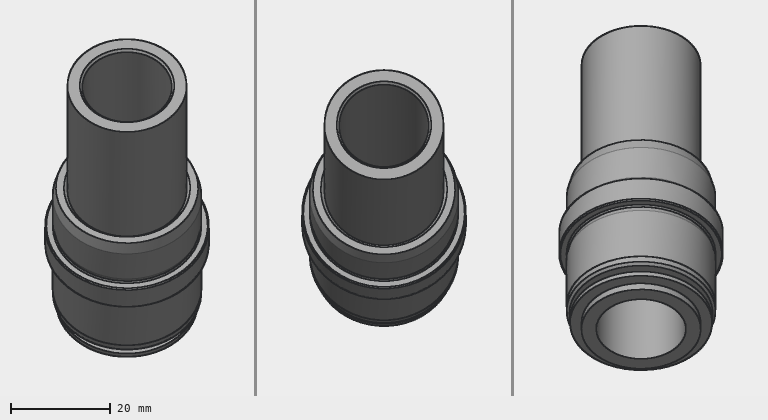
import cadquery as cq

TUBE_LENGTH = 71.0
TUBE_DIAMETER = 24.0
BORE_DIAMETER = 18.0
BORE_CHAMFER = 0.5
FLANGE_DIAMETER = 28.6
FLANGE_BOTTOM = 1.6
FLANGE_THICKNESS = 1.15

SLEEVE_BOTTOM = 4.25
SLEEVE_TOP = 38.2
UPPER_DIAMETER = 29.95
LOWER_DIAMETER = 30.0
LEAD_TOP = 6.25
FOOT_CHAMFER = 0.6
TOP_BEVEL_DIAMETER = 28.6
TOP_BEVEL_HEIGHT = 2.55
SLEEVE_BORE_CHAMFER = 0.7

COLLAR_DIAMETER = 33.0
COLLAR_BOTTOM = 20.15
COLLAR_TOP = 26.1
COLLAR_CHAMFER = 0.3
UNDERCUT_DIAMETER = 29.4
UNDERCUT_WIDTH = 1.5
UNDERCUT_DEEPEST = 0.35


def make_tube():
    """Tube and flange, bored through and chamfered at the bore's upper mouth."""
    tube = cq.Workplane("XY").circle(TUBE_DIAMETER / 2).extrude(TUBE_LENGTH)
    flange = (
        cq.Workplane("XY")
        .workplane(offset=FLANGE_BOTTOM)
        .circle(FLANGE_DIAMETER / 2)
        .extrude(FLANGE_THICKNESS)
    )
    body = tube.union(flange)
    body = body.faces(">Z").workplane().hole(BORE_DIAMETER)
    bore_mouth = body.faces(">Z").edges(cq.selectors.RadiusNthSelector(0))
    return bore_mouth.chamfer(BORE_CHAMFER)


def make_sleeve():
    """Revolved half-section, listed from the bore's foot outward and up."""
    bore_radius = TUBE_DIAMETER / 2
    upper_radius = UPPER_DIAMETER / 2
    lower_radius = LOWER_DIAMETER / 2
    undercut_radius = UNDERCUT_DIAMETER / 2
    collar_radius = COLLAR_DIAMETER / 2
    section = [
        (bore_radius, SLEEVE_BOTTOM),
        (upper_radius - FOOT_CHAMFER, SLEEVE_BOTTOM),
        (upper_radius, SLEEVE_BOTTOM + FOOT_CHAMFER),
        (upper_radius, LEAD_TOP),
        (lower_radius, LEAD_TOP),
        (lower_radius, COLLAR_BOTTOM - UNDERCUT_WIDTH),
        (undercut_radius, COLLAR_BOTTOM - UNDERCUT_DEEPEST),
        (lower_radius, COLLAR_BOTTOM),
        (collar_radius - COLLAR_CHAMFER, COLLAR_BOTTOM),
        (collar_radius, COLLAR_BOTTOM + COLLAR_CHAMFER),
        (collar_radius, COLLAR_TOP - COLLAR_CHAMFER),
        (collar_radius - COLLAR_CHAMFER, COLLAR_TOP),
        (upper_radius, COLLAR_TOP),
        (undercut_radius, COLLAR_TOP + UNDERCUT_DEEPEST),
        (upper_radius, COLLAR_TOP + UNDERCUT_WIDTH),
        (upper_radius, SLEEVE_TOP - TOP_BEVEL_HEIGHT),
        (TOP_BEVEL_DIAMETER / 2, SLEEVE_TOP),
        (bore_radius + SLEEVE_BORE_CHAMFER, SLEEVE_TOP),
        (bore_radius, SLEEVE_TOP - SLEEVE_BORE_CHAMFER),
    ]
    return cq.Workplane("XZ").polyline(section).close().revolve(360, (0, 0, 0), (0, 1, 0))


tube = make_tube()
sleeve = make_sleeve()
result = cq.Compound.makeCompound([tube.val(), sleeve.val()])